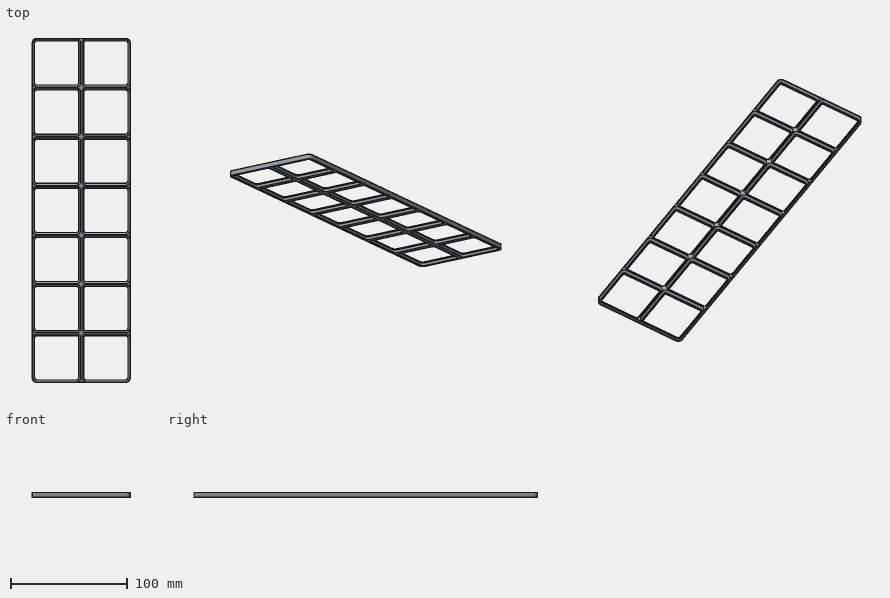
import cadquery as cq

plate_length = 294.0
height = 4.0
columns = 2
rows = 7
land_half_width = 0.47
chamfer = 1.73
top_corner_radius = 3.5

cell_pitch = plate_length / rows
plate_width = columns * cell_pitch
outer_radius = top_corner_radius + land_half_width
top_side = cell_pitch - 2 * land_half_width
throat_side = top_side - 2 * chamfer
throat_radius = top_corner_radius - chamfer
throat_height = height - chamfer


def rounded_square(side, radius):
    """Square outline with rounded corners, centred on the origin."""
    return cq.Sketch().rect(side, side).vertices().fillet(radius)


def make_plate():
    """Solid blank with rounded vertical corners, resting on Z = 0."""
    blank = cq.Workplane("XY").box(plate_width, plate_length, height, centered=(True, True, False))
    return blank.edges("|Z").fillet(outer_radius)


def make_opening():
    """Volume removed from one cell: a straight throat under a flared lead-in."""
    throat_outline = rounded_square(throat_side, throat_radius)
    top_outline = rounded_square(top_side, top_corner_radius)
    throat = cq.Workplane("XY").placeSketch(throat_outline).extrude(throat_height)
    lead_in = (
        cq.Workplane("XY", origin=(0, 0, throat_height))
        .placeSketch(throat_outline, top_outline.moved(cq.Location(cq.Vector(0, 0, chamfer))))
        .loft()
    )
    return throat.union(lead_in)


opening = make_opening().val()
openings = (
    cq.Workplane("XY")
    .rarray(cell_pitch, cell_pitch, columns, rows)
    .eachpoint(lambda location: opening.moved(location), combine=False)
)

result = make_plate().cut(openings)